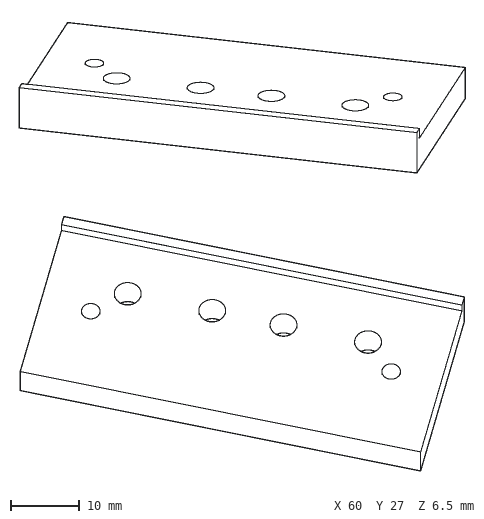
import cadquery as cq

length = 60.0
width = 27.0
total_height = 6.5

lip_thickness = 1.5
lip_height = 1.5
plate_thickness = total_height - lip_height

large_diameter = 3.9
large_outer_offset = 18.0
large_inner_offset = 5.35
large_row_from_front = 10.0
small_diameter = 2.7
small_offset = 22.5
small_row_from_front = 14.3


def mirrored_points(offsets, distance_from_front):
    """Hole centres at plus and minus each offset along X."""
    y = distance_from_front - width / 2
    return [(side * offset, y) for offset in offsets for side in (-1, 1)]


plate = cq.Workplane("XY").box(length, width, plate_thickness, centered=(True, True, False))

lip = (
    cq.Workplane("XY")
    .box(length, lip_thickness, total_height, centered=(True, False, False))
    .translate((0, -width / 2, 0))
)
body = plate.union(lip)

large_points = mirrored_points([large_inner_offset, large_outer_offset], large_row_from_front)
small_points = mirrored_points([small_offset], small_row_from_front)
large_holes = cq.Workplane("XY").pushPoints(large_points).circle(large_diameter / 2).extrude(plate_thickness)
small_holes = cq.Workplane("XY").pushPoints(small_points).circle(small_diameter / 2).extrude(plate_thickness)

result = body.cut(large_holes).cut(small_holes)